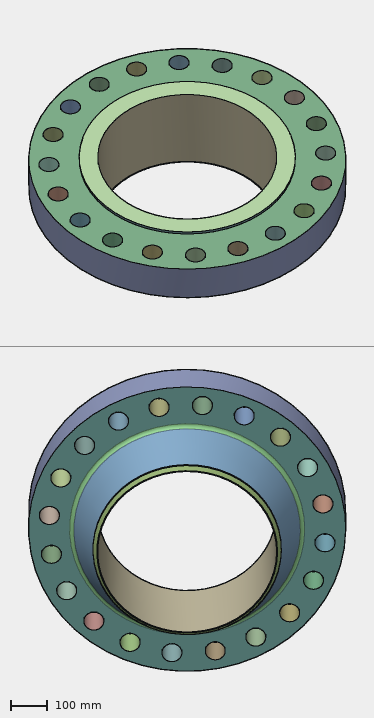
import cadquery as cq

flange_diameter = 857.0
flange_thickness = 108.0
face_diameter = 585.0
face_height = 8.0
bore_diameter = 483.5

total_height = 254.0
root_radius = 309.5
root_fillet_radius = 13.0
neck_radius = 255.0
neck_land_height = 6.0
weld_bevel_width = 10.0
weld_bevel_height = 10.0

bolt_count = 20
bolt_circle_diameter = 749.0
bolt_hole_diameter = 54.0

flange_top = total_height - face_height
flange_bottom = flange_top - flange_thickness
land_top = weld_bevel_height + neck_land_height

bore_radius = bore_diameter / 2
flange_radius = flange_diameter / 2
face_radius = face_diameter / 2


def flange_body():
    """Revolve the half section about the Z axis, then round the neck root."""
    section = (
        cq.Workplane("XZ")
        .moveTo(bore_radius, 0)
        .lineTo(neck_radius - weld_bevel_width, 0)
        .lineTo(neck_radius, weld_bevel_height)
        .lineTo(neck_radius, land_top)
        .lineTo(root_radius, flange_bottom)
        .lineTo(flange_radius, flange_bottom)
        .lineTo(flange_radius, flange_top)
        .lineTo(face_radius, flange_top)
        .lineTo(face_radius, total_height)
        .lineTo(bore_radius, total_height)
        .close()
    )
    body = section.revolve(360, (0, 0, 0), (0, 1, 0))
    return body.edges("%CIRCLE").edges(cq.selectors.RadiusNthSelector(-2)).fillet(root_fillet_radius)


def bolt_holes():
    """Ring of cylinders that pass through the flange disc."""
    return (
        cq.Workplane("XY", origin=(0, 0, flange_bottom))
        .polarArray(bolt_circle_diameter / 2, 0, 360, bolt_count)
        .circle(bolt_hole_diameter / 2)
        .extrude(flange_thickness)
    )


result = flange_body().cut(bolt_holes())